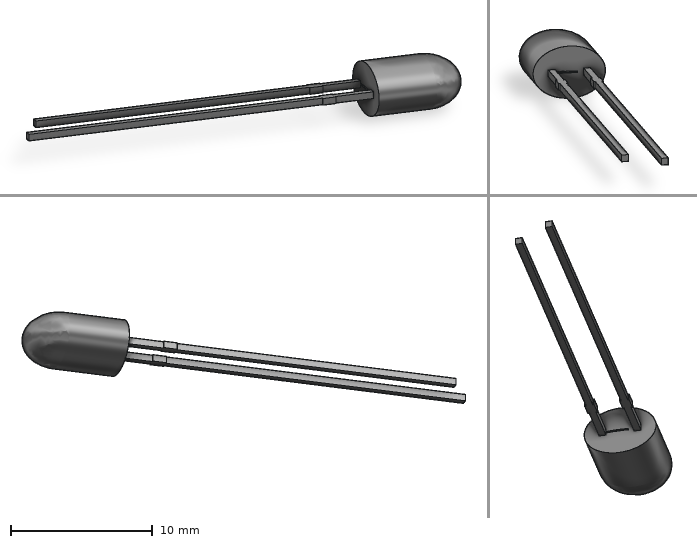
import cadquery as cq

total_length = 33.0
body_width = 5.2
body_height = 3.8
body_length = 7.0
dome_length = body_width / 2

lead_pitch = 2.55
lead_thickness = 0.5
lead_length_difference = 1.52
collar_width = 0.7
collar_length = 1.0
collar_offset = 2.87

slot_length = 1.62
slot_end_height = 0.1
slot_middle_height = 0.13
slot_depth = 0.15

barrel_length = body_length - dome_length
long_lead_length = total_length - body_length
short_lead_length = long_lead_length - lead_length_difference
short_lead_x = -lead_pitch / 2
long_lead_x = lead_pitch / 2


def make_body():
    """Elliptical barrel closed by half an ellipsoid."""
    barrel = (
        cq.Workplane("XZ")
        .ellipse(body_width / 2, body_height / 2)
        .extrude(-barrel_length)
    )
    flattening = body_height / body_width
    flatten = cq.Matrix(
        [
            [1, 0, 0, 0],
            [0, 1, 0, barrel_length],
            [0, 0, flattening, 0],
        ]
    )
    half_ball = (
        cq.Workplane("XY")
        .lineTo(dome_length, 0)
        .radiusArc((0, dome_length), -dome_length)
        .close()
        .revolve(360, (0, 0, 0), (0, 1, 0))
    )
    dome = half_ball.val().transformGeometry(flatten)
    return barrel.union(cq.Workplane(dome))


def make_lead(center_x, length):
    """Square lead with a wider rectangular collar."""
    half_lead = lead_thickness / 2
    half_collar = collar_width / 2
    collar_top = -collar_offset
    collar_bottom = collar_top - collar_length
    right_edge = [
        (half_lead, 0),
        (half_lead, collar_top),
        (half_collar, collar_top),
        (half_collar, collar_bottom),
        (half_lead, collar_bottom),
        (half_lead, -length),
    ]
    left_edge = [(-x, y) for x, y in reversed(right_edge)]
    return (
        cq.Workplane("XY")
        .polyline(right_edge + left_edge)
        .close()
        .extrude(lead_thickness / 2, both=True)
        .translate((center_x, 0, 0))
    )


def make_base_slot():
    """Shallow slot running from the short lead toward the long one."""
    start_x = short_lead_x + lead_thickness / 2
    middle_x = start_x + slot_length / 2
    end_x = start_x + slot_length
    floor_z = -slot_end_height / 2
    shoulder_z = slot_end_height / 2
    return (
        cq.Workplane("XZ")
        .moveTo(start_x, floor_z)
        .lineTo(end_x, floor_z)
        .lineTo(end_x, shoulder_z)
        .threePointArc((middle_x, floor_z + slot_middle_height), (start_x, shoulder_z))
        .close()
        .extrude(-slot_depth)
    )


body = make_body().cut(make_base_slot())
short_lead = make_lead(short_lead_x, short_lead_length)
long_lead = make_lead(long_lead_x, long_lead_length)
result = body.union(short_lead).union(long_lead)